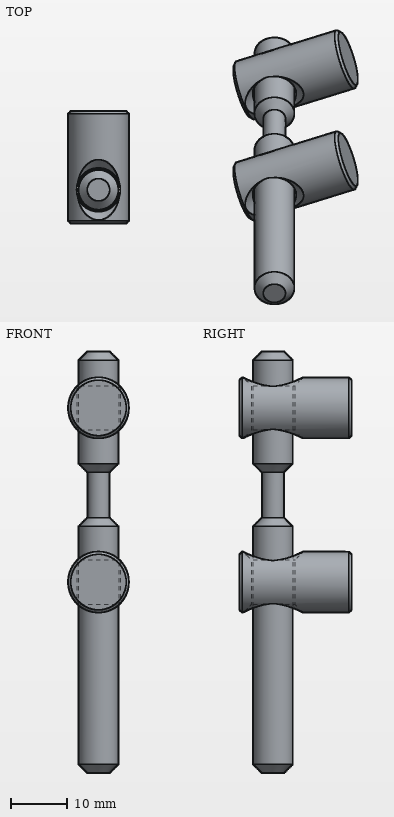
import cadquery as cq

TOTAL_HEIGHT = 75.0
ROD_DIAMETER = 7.1
NECK_DIAMETER = 4.0
LOWER_ROD_TOP = 45.45
NECK_LENGTH = 8.0
UPPER_ROD_BOTTOM = LOWER_ROD_TOP + NECK_LENGTH
ROD_CHAMFER = (ROD_DIAMETER - NECK_DIAMETER) / 2

BARREL_DIAMETER = 10.9
BARREL_RADIUS = BARREL_DIAMETER / 2
BARREL_LENGTH = 20.0
BARREL_FRONT = -6.0
BARREL_CHAMFER = 0.5
BARREL_HEIGHTS = (34.0, 64.95)

HOLE_DIAMETER = 7.7
HOLE_RADIUS = HOLE_DIAMETER / 2
FLARE_DEPTH = 1.5


def make_rod(bottom, top):
    """Round rod with a conical chamfer at each end."""
    return (
        cq.Workplane("XY", origin=(0, 0, bottom))
        .circle(ROD_DIAMETER / 2)
        .extrude(top - bottom)
        .faces("<Z or >Z")
        .chamfer(ROD_CHAMFER)
    )


def make_neck():
    """Thin pin joining the facing ends of the two rods."""
    return (
        cq.Workplane("XY", origin=(0, 0, LOWER_ROD_TOP))
        .circle(NECK_DIAMETER / 2)
        .extrude(NECK_LENGTH)
    )


def make_flared_hole():
    """Cutter: a vertical hole that widens conically towards both ends."""
    flare_start = BARREL_RADIUS - FLARE_DEPTH
    flare_radius = HOLE_RADIUS + FLARE_DEPTH
    return (
        cq.Workplane("XZ")
        .moveTo(0, -BARREL_RADIUS)
        .lineTo(flare_radius, -BARREL_RADIUS)
        .lineTo(HOLE_RADIUS, -flare_start)
        .lineTo(HOLE_RADIUS, flare_start)
        .lineTo(flare_radius, BARREL_RADIUS)
        .lineTo(0, BARREL_RADIUS)
        .close()
        .revolve(360, (0, 0, 0), (0, 1, 0))
    )


def make_barrel(height):
    """Cross barrel with chamfered ends and a flared hole on the rod axis."""
    body = (
        cq.Workplane("XZ", origin=(0, BARREL_FRONT, 0))
        .circle(BARREL_RADIUS)
        .extrude(-BARREL_LENGTH)
        .faces("<Y or >Y")
        .chamfer(BARREL_CHAMFER)
    )
    return body.cut(make_flared_hole()).translate((0, 0, height))


lower_rod = make_rod(0, LOWER_ROD_TOP)
neck = make_neck()
upper_rod = make_rod(UPPER_ROD_BOTTOM, TOTAL_HEIGHT)
barrels = [make_barrel(height) for height in BARREL_HEIGHTS]

result = cq.Compound.makeCompound(
    [lower_rod.val(), neck.val(), upper_rod.val(), *[barrel.val() for barrel in barrels]]
)